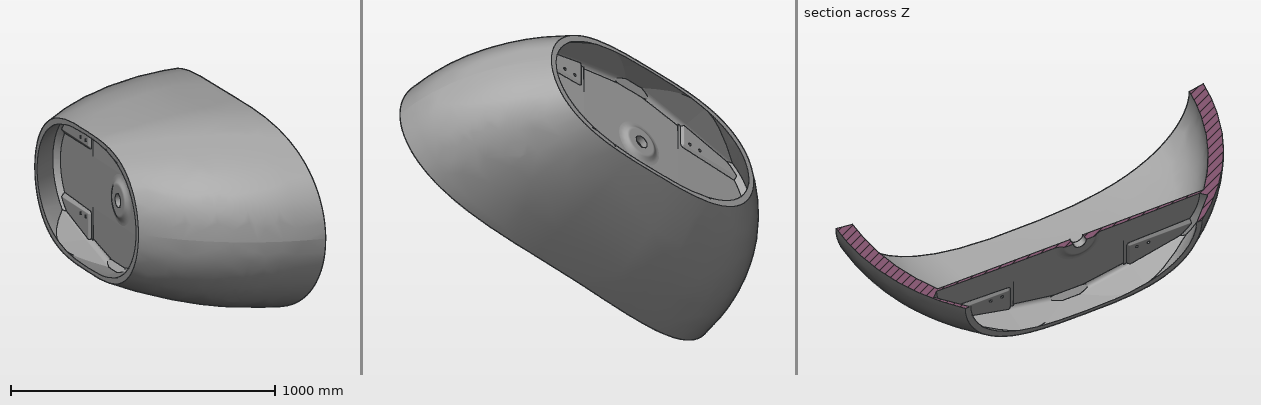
import cadquery as cq
import math


LEFT_END = (790.0, 602.0, 858.0)
RIGHT_END = (790.0, 664.0, 835.0)
LONG_SIDE = (385.0, 612.0, 1746.0)
SHELL_TOP = 664.0
SHELL_SECTIONS = 7
SHELL_FLATNESS = 3.2
OVAL_STEPS = 12

RIM_HALF_LENGTH = 790.0
RIM_LEFT_HEIGHT = 594.0
RIM_LOW_POINT = (-63.0, 545.0)
RIM_RIGHT_HEIGHT = 630.0

BASIN_WALL = 66.0
BASIN_FLOOR = 140.0
BASIN_SECTIONS = 5

RECESS_X = -41.0
RECESS_HALF_LENGTH = 479.0
RECESS_HALF_WIDTH = 259.0
RECESS_FLATNESS = 2.8
RECESS_END_FLARE = 101.0
RECESS_SIDE_FLARE = 24.0
RECESS_REACH = RECESS_HALF_LENGTH + RECESS_END_FLARE
RECESS_DEPTH = 125.0
RECESS_FALL = 5.0
RECESS_LIMIT = RECESS_DEPTH + RECESS_FALL
RECESS_CORNER = 22.0
PANEL_HALF_LENGTH = 234.0
FLAT_STRIP_HALF_WIDTH = 101.0
GUSSET_BEND = (260.0, 234.0)
GUSSET_INNER_SLOPE = 0.22
GUSSET_OUTER_SLOPE = 0.26
GUSSET_PEAK = GUSSET_BEND[1] + GUSSET_INNER_SLOPE * GUSSET_BEND[0]

PAD_X = 240.0
PAD_Z = 115.0
PAD_LEDGE = 17.0
PAD_DEPTH = 117.0
PAD_CORNER = 19.0
PAD_EDGE = 5.0
SCREW_X = (286.0, 335.0)
SCREW_Z = 150.0
SCREW_DIAMETER = 11.0
SCREW_DEPTH = 16.0

DRAIN_FOOT_RADIUS = 100.0
DRAIN_NECK_RADIUS = 71.0
DRAIN_FACE_RADIUS = 58.0
DRAIN_FLARE_ANGLE = 37.0
DRAIN_HOLE_DIAMETER = 54.0

OVERSIZE = 948.0


def plane_at(height):
    """Workplane parallel to the base, with local axes along X and Z."""
    return cq.Workplane("XZ", origin=(0, height, 0))


def oval(center_x, half_length, half_width, height, flatness):
    """Oval wire with round ends and long sides that get flatter as the exponent grows."""

    def point(step):
        angle = math.pi * step / OVAL_STEPS
        along = math.copysign(abs(math.cos(angle)) ** (2 / flatness), math.cos(angle))
        return (center_x + half_length * along, half_width * math.sin(angle))

    upper = [point(i) for i in range(OVAL_STEPS + 1)]
    lower = [(x, -z) for x, z in reversed(upper)]
    outline = plane_at(height).spline(upper)
    return outline.spline(lower).wire().val()


def reach(side, height):
    """Distance of a leaning side from the drain axis at a given height."""
    widest, widest_height, radius = side
    return widest - radius + math.sqrt(radius**2 - (height - widest_height) ** 2)


def tub_loft(bottom, sections, inset):
    """Solid that follows the leaning sides, inset by a wall thickness."""
    wires = []
    for i in range(sections):
        height = bottom + (SHELL_TOP - bottom) * i / (sections - 1)
        left = -reach(LEFT_END, height) + inset
        right = reach(RIGHT_END, height) - inset
        half_width = reach(LONG_SIDE, height) - inset
        wires.append(oval((left + right) / 2, (right - left) / 2, half_width, height, SHELL_FLATNESS))
    return cq.Workplane(cq.Solid.makeLoft(wires))


def above_rim():
    """Everything beyond the dipping rim surface."""
    return (
        cq.Workplane("XY")
        .moveTo(-OVERSIZE, RIM_LEFT_HEIGHT)
        .lineTo(-RIM_HALF_LENGTH, RIM_LEFT_HEIGHT)
        .threePointArc(RIM_LOW_POINT, (RIM_HALF_LENGTH, RIM_RIGHT_HEIGHT))
        .lineTo(OVERSIZE, RIM_RIGHT_HEIGHT)
        .lineTo(OVERSIZE, OVERSIZE)
        .lineTo(-OVERSIZE, OVERSIZE)
        .close()
        .extrude(OVERSIZE, both=True)
    )


def basin():
    """Bathing space, open at the rim."""
    return tub_loft(BASIN_FLOOR, BASIN_SECTIONS, BASIN_WALL)


def recess_oval(end_growth, side_growth, depth):
    """Outline of the recess, grown from the opening by the given amounts."""
    half_length = RECESS_HALF_LENGTH + end_growth
    half_width = RECESS_HALF_WIDTH + side_growth
    return oval(RECESS_X, half_length, half_width, depth, RECESS_FLATNESS)


def recess_walls():
    """Undercut oval walls, bevelled where they meet the floor."""
    bevel_depth = RECESS_LIMIT - RECESS_CORNER
    floor_end = RECESS_END_FLARE - RECESS_CORNER
    floor_side = RECESS_SIDE_FLARE - RECESS_CORNER
    rings = [
        recess_oval(0, 0, 0),
        recess_oval(RECESS_END_FLARE, RECESS_SIDE_FLARE, bevel_depth),
        recess_oval(floor_end, floor_side, RECESS_LIMIT),
    ]
    return cq.Workplane(cq.Solid.makeLoft(rings, True))


def gusset_limits():
    """Prism between the straight gussets, rounded where they meet the floor."""
    bend_x, bend_z = GUSSET_BEND
    tail_z = bend_z - GUSSET_OUTER_SLOPE * (RECESS_REACH - bend_x)
    quarter = [(0, GUSSET_PEAK), GUSSET_BEND, (RECESS_REACH, tail_z)]
    right = quarter + [(x, -z) for x, z in reversed(quarter)]
    left = [(-x, z) for x, z in reversed(right[1:-1])]
    return (
        plane_at(0)
        .center(RECESS_X, 0)
        .polyline(right + left)
        .close()
        .extrude(-RECESS_LIMIT)
        .faces(">Y")
        .edges()
        .fillet(RECESS_CORNER)
    )


def below_floor(plane, flat, edge, length):
    """Space between the base plane and a floor that is flat in the middle and deeper toward its edges."""
    return (
        cq.Workplane(plane, origin=(RECESS_X, 0, 0))
        .polyline(
            [
                (-edge, 0),
                (-edge, RECESS_LIMIT),
                (-flat, RECESS_DEPTH),
                (flat, RECESS_DEPTH),
                (edge, RECESS_LIMIT),
                (edge, 0),
            ]
        )
        .close()
        .extrude(length, both=True)
    )


def recess():
    """Cavity under the basin; its floor falls toward the drain from the ends and from the long sides."""
    ends = below_floor("XY", PANEL_HALF_LENGTH, RECESS_REACH, OVERSIZE)
    panel = below_floor("ZY", FLAT_STRIP_HALF_WIDTH, GUSSET_PEAK, PANEL_HALF_LENGTH)
    cavity = recess_walls().intersect(gusset_limits()).intersect(ends.union(panel))
    for side_x in (-1, 1):
        for side_z in (-1, 1):
            cavity = cavity.cut(pad(side_x, side_z))
    return cavity


def pad(side_x, side_z):
    """Raised corner pad with sloping ledges on its two inner sides."""
    rise = RECESS_LIMIT - PAD_DEPTH
    size = RECESS_HALF_LENGTH
    taper = math.degrees(math.atan(PAD_LEDGE / rise))
    return (
        plane_at(RECESS_LIMIT)
        .center(RECESS_X + side_x * (PAD_X + size / 2), side_z * (PAD_Z + size / 2))
        .sketch()
        .rect(size, size)
        .vertices()
        .fillet(PAD_CORNER)
        .finalize()
        .extrude(rise, taper=taper)
        .faces("<Y")
        .edges()
        .fillet(PAD_EDGE)
    )


def drain_boss():
    """Boss whose flared foot blends into the recess floor and whose face edge is rounded."""
    angle = math.radians(DRAIN_FLARE_ANGLE)
    foot_arc = (DRAIN_FOOT_RADIUS - DRAIN_NECK_RADIUS) / math.sin(angle)
    edge_arc = (DRAIN_NECK_RADIUS - DRAIN_FACE_RADIUS) / math.sin(angle)
    neck_height = RECESS_DEPTH - foot_arc * (1 - math.cos(angle))
    face_height = neck_height - edge_arc * (1 - math.cos(angle))
    half_sine = math.sin(angle / 2)
    half_drop = 1 - math.cos(angle / 2)
    foot_middle = (DRAIN_FOOT_RADIUS - foot_arc * half_sine, RECESS_DEPTH - foot_arc * half_drop)
    edge_middle = (DRAIN_FACE_RADIUS + edge_arc * half_sine, face_height + edge_arc * half_drop)
    return (
        cq.Workplane("XY")
        .moveTo(0, RECESS_DEPTH)
        .lineTo(DRAIN_FOOT_RADIUS, RECESS_DEPTH)
        .threePointArc(foot_middle, (DRAIN_NECK_RADIUS, neck_height))
        .threePointArc(edge_middle, (DRAIN_FACE_RADIUS, face_height))
        .lineTo(0, face_height)
        .close()
        .revolve(360, (0, 0), (0, 1))
    )


def screw_holes():
    """Two blind holes in each foot pad."""
    spots = [(RECESS_X + i * x, j * SCREW_Z) for x in SCREW_X for i in (-1, 1) for j in (-1, 1)]
    return plane_at(PAD_DEPTH).pushPoints(spots).circle(SCREW_DIAMETER / 2).extrude(-SCREW_DEPTH)


def drain_hole():
    """Through hole from the recess into the basin."""
    return plane_at(0).circle(DRAIN_HOLE_DIAMETER / 2).extrude(-OVERSIZE)


shell = tub_loft(0, SHELL_SECTIONS, 0).cut(above_rim()).cut(basin())
result = shell.cut(recess()).cut(screw_holes()).union(drain_boss()).cut(drain_hole())